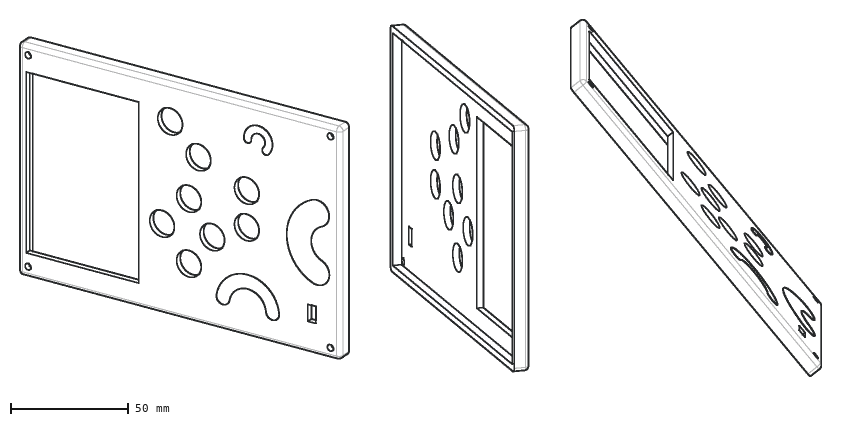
import cadquery as cq
import math

WIDTH = 162.9
DEPTH = 7.0
HEIGHT = 109.33
EDGE_RADIUS = 2.0

PANEL_THICKNESS = 3.0
RIM_THICKNESS = PANEL_THICKNESS

WINDOW_WIDTH = 56.9
WINDOW_HEIGHT = 85.0
WINDOW_CENTER = (-49.0, -0.9)

SCREW_DIAMETER = 3.0
SCREW_INSET = 5.0

BUTTON_DIAMETER = 12.4
BUTTON_CENTERS = [
    (-4.6, 36.5),
    (9.7, 23.2),
    (34.15, 13.6),
    (34.15, -3.65),
    (4.9, 2.55),
    (-8.7, -12.55),
    (16.7, -12.55),
    (4.9, -28.0),
]

SWITCH_WIDTH = 4.0
SWITCH_HEIGHT = 8.0
SWITCH_CENTER = (67.1, -36.05)

ARC_RECESS_DEPTH = 0.2
ARC_RECESSES = [
    ((39.9, 38.3), 5.35, 3.75, -43.5, 183.2),
    ((75.4, -1.86), 14.9, 12.4, 113.0, 247.5),
    ((34.55, -41.8), 12.65, 6.7, 5.3, 169.7),
]


def xz_plane(y):
    """Sketch plane at depth y whose local axes are X and Z and whose normal is -Y."""
    return cq.Workplane("XZ", origin=(0, y, 0))


def extrude_back(sketch, depth):
    """Extrude a sketch from its own plane toward the back (+Y)."""
    return sketch.extrude(-depth)


def tray():
    body = extrude_back(xz_plane(0).rect(WIDTH, HEIGHT), DEPTH)
    body = body.edges("|Y").fillet(EDGE_RADIUS)
    body = body.faces("<Y").edges().fillet(EDGE_RADIUS)
    cavity = xz_plane(PANEL_THICKNESS).rect(
        WIDTH - 2 * RIM_THICKNESS, HEIGHT - 2 * RIM_THICKNESS
    )
    return body.cut(extrude_back(cavity, DEPTH - PANEL_THICKNESS))


def rectangular_opening(center, width, height):
    return extrude_back(xz_plane(0).center(*center).rect(width, height), DEPTH)


def round_holes(centers, diameter):
    return extrude_back(xz_plane(0).pushPoints(centers).circle(diameter / 2), DEPTH)


def arc_recess(center, mid_radius, band, start, end):
    """Constant-width band along an arc, closed by a half circle at each end."""

    def point(radius, degrees):
        angle = math.radians(degrees)
        return (
            center[0] + radius * math.cos(angle),
            center[1] + radius * math.sin(angle),
        )

    def end_tip(degrees, direction):
        x, z = point(mid_radius, degrees)
        angle = math.radians(degrees)
        reach = direction * band / 2
        return (x - reach * math.sin(angle), z + reach * math.cos(angle))

    inner = mid_radius - band / 2
    outer = mid_radius + band / 2
    middle = (start + end) / 2
    outline = (
        xz_plane(0)
        .moveTo(*point(outer, start))
        .threePointArc(point(outer, middle), point(outer, end))
        .threePointArc(end_tip(end, 1), point(inner, end))
        .threePointArc(point(inner, middle), point(inner, start))
        .threePointArc(end_tip(start, -1), point(outer, start))
        .close()
    )
    return extrude_back(outline, ARC_RECESS_DEPTH)


screw_x = WIDTH / 2 - SCREW_INSET
screw_z = HEIGHT / 2 - SCREW_INSET
screw_centers = [(sx * screw_x, sz * screw_z) for sx in (-1, 1) for sz in (-1, 1)]

result = tray()
result = result.cut(rectangular_opening(WINDOW_CENTER, WINDOW_WIDTH, WINDOW_HEIGHT))
result = result.cut(rectangular_opening(SWITCH_CENTER, SWITCH_WIDTH, SWITCH_HEIGHT))
result = result.cut(round_holes(screw_centers, SCREW_DIAMETER))
result = result.cut(round_holes(BUTTON_CENTERS, BUTTON_DIAMETER))
for recess in ARC_RECESSES:
    result = result.cut(arc_recess(*recess))